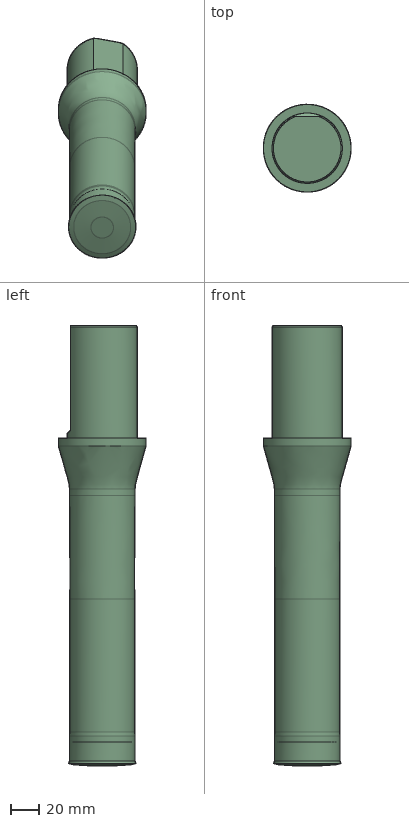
import cadquery as cq
import math

shank_diameter = 49.99
flange_diameter = 62.5
body_diameter = 46.8
waist_diameter = 46.32
plug_diameter = 45.4
cutting_diameter = 48.0
corner_diameter = 40.5
tip_ring_diameter = 16.0

overall_length = 312.98
shank_length = 80.0
flange_thickness = 5.5
collar_length = 4.7
drilling_depth = 4 * cutting_diameter
taper_length = 73.5
step_taper_length = 2.8

cone_half_angle = 15.65
blend_length = 5.7

nose_length = 21.3
plug_to_nose_top = 4.4
flare_length = 1.7
lip_height = 1.7
corner_height = 0.8

shank_chamfer = 1.0
flat_offset = 22.6
flat_to_flange = 3.2

shank_radius = shank_diameter / 2
flange_radius = flange_diameter / 2
body_radius = body_diameter / 2
waist_radius = waist_diameter / 2
plug_radius = plug_diameter / 2
cutting_radius = cutting_diameter / 2
corner_radius = corner_diameter / 2
tip_ring_radius = tip_ring_diameter / 2

tip_level = shank_length - overall_length
flange_bottom = -flange_thickness
collar_bottom = tip_level + drilling_depth
collar_top = collar_bottom + collar_length
taper_bottom = collar_bottom - taper_length
nose_top = tip_level + nose_length
step_taper_top = nose_top + step_taper_length
plug_top = nose_top - plug_to_nose_top
lip_level = tip_level + lip_height
flare_top = lip_level + flare_length
corner_level = tip_level + corner_height

cone_angle = math.radians(cone_half_angle)
blend_radius = blend_length / math.sin(cone_angle)
blend_start = (
    body_radius + blend_radius * (1 - math.cos(cone_angle)),
    collar_top + blend_length,
)
cone_direction = (-math.sin(cone_angle), -math.cos(cone_angle))
down = (0, -1)


def turn(outline):
    """Close a half outline drawn in (radius, z) and turn it about the Z axis."""
    return outline.close().revolve(360, (0, 0), (0, 1))


def shank_flat_cutter():
    """Clamping flat on the +Y side of the shank, with a 45 degree run-out above the flange."""
    flat_depth = shank_radius - flat_offset
    return (
        cq.Workplane("YZ")
        .moveTo(shank_radius, flat_to_flange)
        .lineTo(flat_offset, flat_to_flange + flat_depth)
        .lineTo(flat_offset, shank_length)
        .lineTo(shank_radius, shank_length)
        .close()
        .extrude(shank_radius, both=True)
    )


def make_holder():
    """Shank, flange, cone and long body, ending in a bored nose that takes the cutting tip."""
    blank = turn(
        cq.Workplane("XZ")
        .moveTo(0, shank_length)
        .lineTo(shank_radius - shank_chamfer, shank_length)
        .lineTo(shank_radius, shank_length - shank_chamfer)
        .lineTo(shank_radius, 0)
        .lineTo(flange_radius, 0)
        .lineTo(flange_radius, flange_bottom)
        .spline(
            [blend_start, (body_radius, collar_top)],
            tangents=[cone_direction, cone_direction, down],
            includeCurrent=True,
        )
        .lineTo(body_radius, collar_bottom)
        .lineTo(waist_radius, taper_bottom)
        .lineTo(waist_radius, step_taper_top)
        .lineTo(body_radius, nose_top)
        .lineTo(body_radius, flare_top)
        .lineTo(plug_radius, flare_top)
        .lineTo(plug_radius, plug_top)
        .lineTo(0, plug_top)
    )
    return blank.cut(shank_flat_cutter())


def make_cutting_tip():
    """Plug seated in the holder nose, with a rim that flares out to the cutting diameter."""
    return turn(
        cq.Workplane("XZ")
        .moveTo(0, plug_top)
        .lineTo(plug_radius, plug_top)
        .lineTo(plug_radius, flare_top)
        .lineTo(body_radius, flare_top)
        .lineTo(cutting_radius, lip_level)
        .lineTo(corner_radius, corner_level)
        .lineTo(tip_ring_radius, tip_level)
        .lineTo(0, tip_level)
    )


holder = make_holder()
cutting_tip = make_cutting_tip()

result = cq.Compound.makeCompound([holder.val(), cutting_tip.val()])